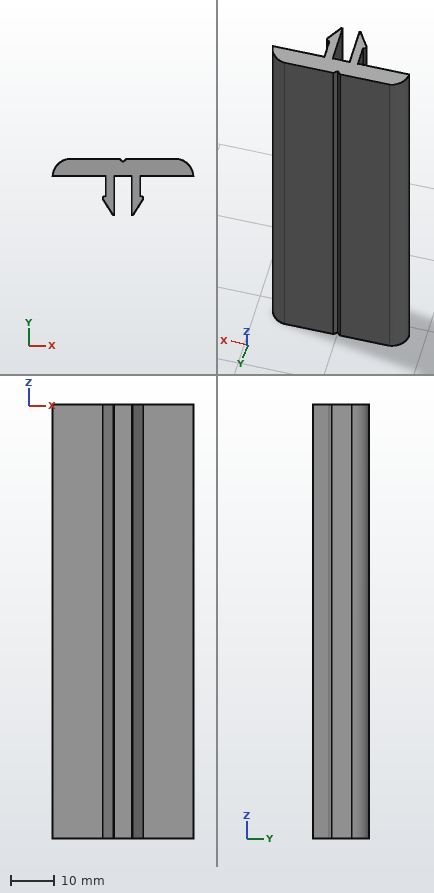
import cadquery as cq
import math

length = 100.0
plate_width = 32.5
plate_thickness = 4.0
total_depth = 13.0

edge_run = 3.7
edge_radius = 4.3

groove_width = 1.6
groove_depth = 0.7

leg_gap = 4.0
leg_thickness = 2.0
barb_overhang = 0.7
barb_start = 8.6
barb_radius = 0.5
lead_in_angle = 33.0
tip_width = 0.3


def make_plate():
    half_width = plate_width / 2
    half_top = half_width - edge_run
    profile = (
        cq.Workplane("XY")
        .moveTo(-half_width, -plate_thickness)
        .lineTo(half_width, -plate_thickness)
        .radiusArc((half_top, 0), -edge_radius)
        .lineTo(groove_width / 2, 0)
        .lineTo(0, -groove_depth)
        .lineTo(-groove_width / 2, 0)
        .lineTo(-half_top, 0)
        .radiusArc((-half_width, -plate_thickness), -edge_radius)
        .close()
    )
    return profile.extrude(length)


def make_leg(side):
    """Barbed leg; side is +1 for the +X leg and -1 for the -X leg."""
    inner = leg_gap / 2
    outer = inner + leg_thickness
    barb = outer + barb_overhang
    root = plate_thickness / 2
    center_x = barb - barb_radius
    center_y = -barb_start - barb_radius
    angle = math.radians(lead_in_angle)
    slope_x = center_x + barb_radius * math.cos(angle)
    slope_y = center_y - barb_radius * math.sin(angle)
    profile = (
        cq.Workplane("XY")
        .moveTo(side * inner, -root)
        .lineTo(side * outer, -root)
        .lineTo(side * outer, -barb_start)
        .lineTo(side * center_x, -barb_start)
        .threePointArc((side * barb, center_y), (side * slope_x, slope_y))
        .lineTo(side * (inner + tip_width), -total_depth)
        .lineTo(side * inner, -total_depth)
        .close()
    )
    return profile.extrude(length)


result = make_plate()
for side in (-1, 1):
    result = result.union(make_leg(side))